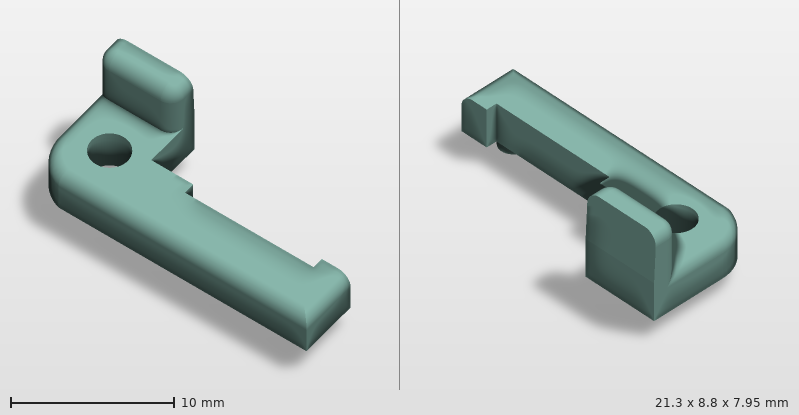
import cadquery as cq
import math

length = 21.33
width = 8.8
base_height = 3.0
post_height = 6.78
round_radius = 1.0

head_width = 6.0
arm_width = 4.44
notch_start = 9.21
notch_end = 19.11
notch_depth = 0.83

corner_x = 2.25
corner_y = 2.92
corner_radius = (corner_x**2 + corner_y**2) / (2 * corner_x)

post_depth = 2.11
post_lean = 0.2

hole_diameter = 2.77
hole_x = 3.5
hole_y = 3.5
peg_diameter = 2.05
peg_length = 1.17
peg_y = 2.03
peg_xs = (9.15, 19.25)


def make_base():
    """Flat body, rounded along the top of its left, front and right sides."""
    half_sweep = math.atan2(corner_x, corner_y)
    arc_middle = (
        corner_radius * (1 - math.cos(math.pi / 2 - half_sweep)),
        corner_y - corner_radius * math.sin(math.pi / 2 - half_sweep),
    )
    body = (
        cq.Workplane("XY")
        .moveTo(0, width)
        .lineTo(0, corner_y)
        .threePointArc(arc_middle, (corner_x, 0))
        .lineTo(length, 0)
        .lineTo(length, arm_width)
        .lineTo(notch_end, arm_width)
        .lineTo(notch_end, arm_width - notch_depth)
        .lineTo(notch_start, arm_width - notch_depth)
        .lineTo(notch_start, arm_width)
        .lineTo(head_width, arm_width)
        .lineTo(head_width, width)
        .close()
        .extrude(base_height)
    )
    top = body.faces(">Z")
    rounded_edges = top.edges("<X").add(top.edges("%CIRCLE")).add(top.edges("<Y")).add(top.edges(">X"))
    return body.newObject(rounded_edges.vals()).fillet(round_radius)


def make_post():
    """Upright block, rounded on its front and top edges, cut to the leaning back face."""
    foot = base_height - round_radius
    post = (
        cq.Workplane("XY", origin=(0, width - post_depth, foot))
        .box(head_width, post_depth, post_height - foot, centered=False)
    )
    front_edges = post.faces("<Y").edges("|Z or >Z").vals()
    side_edges = post.faces(">Z").edges("|Y").vals()
    post = post.newObject(front_edges + side_edges).fillet(round_radius)
    lean_wedge = (
        cq.Workplane("YZ")
        .polyline([(width, base_height), (width, post_height), (width - post_lean, post_height)])
        .close()
        .extrude(head_width)
    )
    return post.cut(lean_wedge)


def make_pegs():
    """Round pegs hanging below the base."""
    return (
        cq.Workplane("XY")
        .pushPoints([(x, peg_y) for x in peg_xs])
        .circle(peg_diameter / 2)
        .extrude(-peg_length)
    )


screw_hole = (
    cq.Workplane("XY")
    .center(hole_x, hole_y)
    .circle(hole_diameter / 2)
    .extrude(base_height)
)

result = make_base().union(make_post()).union(make_pegs()).cut(screw_hole)